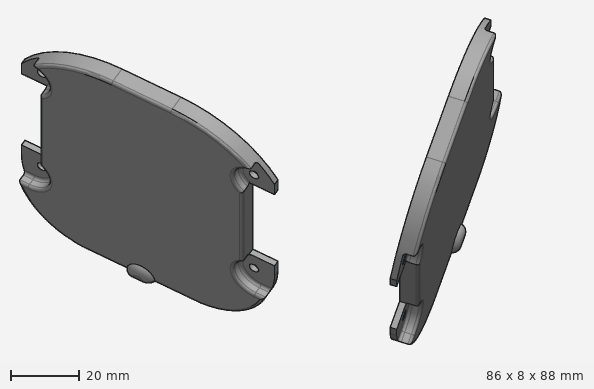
import cadquery as cq
import math


width = 86.0
height = 88.0
plate_thickness = 6.0
edge_fillet = 1.0

half_width = width / 2
half_height = height / 2

top_flat_half = 10.0
top_arc_end_z = 26.1
bottom_flat_half = 20.2
bottom_arc_start_z = -18.9

notch_half_width = 34.4
notch_top_z = 21.1
notch_bottom_z = -13.9

ear_thickness = 2.0
hole_diameter = 3.2
hole_x = 36.0
upper_hole_z = 26.05
lower_hole_z = -19.8
pocket_radius = 7.2
pocket_center_x = 38.5
pocket_rise = 0.35

bump_radius = 5.0
bump_height = 2.0
bump_fillet = 3.0


def tangent_arc_radius(along, across):
    """Radius of an arc that starts tangent to a line and ends at (along, across) from there."""
    return (along**2 + across**2) / (2 * across)


def arc_midpoint(center, start, end):
    """Middle of the arc from start to end about center, for arcs that stay off its -X direction."""
    start_angle = math.atan2(start[1] - center[1], start[0] - center[0])
    end_angle = math.atan2(end[1] - center[1], end[0] - center[0])
    middle_angle = (start_angle + end_angle) / 2
    radius = math.dist(center, start)
    return (center[0] + radius * math.cos(middle_angle), center[1] + radius * math.sin(middle_angle))


def mirrored(point):
    return (-point[0], point[1])


def make_plate():
    """Plain plate with its side notches."""
    top_start = (top_flat_half, half_height)
    top_end = (half_width, top_arc_end_z)
    top_radius = tangent_arc_radius(half_width - top_flat_half, half_height - top_arc_end_z)
    top_center = (top_flat_half, half_height - top_radius)
    top_middle = arc_midpoint(top_center, top_start, top_end)

    bottom_start = (half_width, bottom_arc_start_z)
    bottom_end = (bottom_flat_half, -half_height)
    bottom_radius = tangent_arc_radius(bottom_arc_start_z + half_height, half_width - bottom_flat_half)
    bottom_center = (half_width - bottom_radius, bottom_arc_start_z)
    bottom_middle = arc_midpoint(bottom_center, bottom_start, bottom_end)

    notch_top = (notch_half_width, notch_top_z)
    notch_bottom = (notch_half_width, notch_bottom_z)

    return (
        cq.Workplane("XZ")
        .moveTo(*mirrored(top_start))
        .lineTo(*top_start)
        .threePointArc(top_middle, top_end)
        .lineTo(half_width, notch_top_z)
        .lineTo(*notch_top)
        .lineTo(*notch_bottom)
        .lineTo(half_width, notch_bottom_z)
        .lineTo(*bottom_start)
        .threePointArc(bottom_middle, bottom_end)
        .lineTo(*mirrored(bottom_end))
        .threePointArc(mirrored(bottom_middle), mirrored(bottom_start))
        .lineTo(-half_width, notch_bottom_z)
        .lineTo(*mirrored(notch_bottom))
        .lineTo(*mirrored(notch_top))
        .lineTo(-half_width, notch_top_z)
        .lineTo(*mirrored(top_end))
        .threePointArc(mirrored(top_middle), mirrored(top_start))
        .close()
        .extrude(plate_thickness)
    )


def make_pocket(side, z):
    """Cutter over one ear: round inner end, open outwards, rounded floor edge."""
    outer_x = half_width + pocket_radius
    slot = (
        cq.Workplane("XZ", origin=(0, -ear_thickness, 0))
        .moveTo(side * outer_x, z + pocket_radius)
        .lineTo(side * pocket_center_x, z + pocket_radius)
        .threePointArc(
            (side * (pocket_center_x - pocket_radius), z),
            (side * pocket_center_x, z - pocket_radius),
        )
        .lineTo(side * outer_x, z - pocket_radius)
        .close()
        .extrude(plate_thickness)
    )
    return slot.faces(">Y").edges().fillet(edge_fillet)


def make_bump():
    """Half of a domed disc, cut flush with the bottom of the plate and rounded there."""
    disc = (
        cq.Workplane("XZ", origin=(0, 0, -half_height))
        .circle(bump_radius)
        .extrude(plate_thickness + bump_height)
        .faces("<Y")
        .edges()
        .fillet(bump_fillet)
    )
    upper_half = cq.Workplane("XY", origin=(0, 0, -half_height)).box(
        4 * bump_radius, 4 * plate_thickness, 2 * bump_radius, centered=(True, True, False)
    )
    bump = disc.intersect(upper_half)
    return bump.faces("<Z").edges("<Y").fillet(edge_fillet)


sides = (-1, 1)
hole_heights = (upper_hole_z, lower_hole_z)

plate = make_plate()
for side in sides:
    for hole_z in hole_heights:
        plate = plate.cut(make_pocket(side, hole_z + pocket_rise))

plate = plate.faces("<Y").edges().fillet(edge_fillet)

hole_points = [(side * hole_x, hole_z) for side in sides for hole_z in hole_heights]
holes = cq.Workplane("XZ").pushPoints(hole_points).circle(hole_diameter / 2).extrude(plate_thickness)

result = plate.cut(holes).union(make_bump())